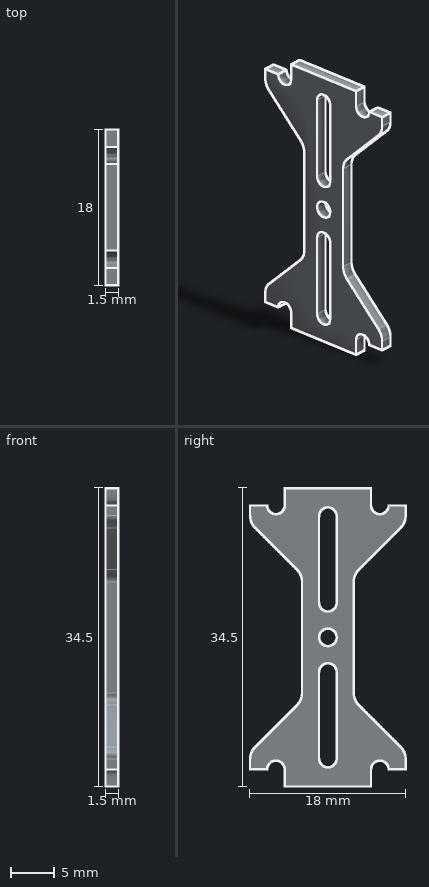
import cadquery as cq

height = 34.5
width = 18.0
thickness = 1.5

tab_width = 10.0
waist_width = 6.0
tab_height = 2.0
ear_side_height = 2.0
corner_radius = 2.0

hole_diameter = 2.0
slot_length = 12.0
slot_offset = 9.0

half_width = width / 2
half_tab = tab_width / 2
half_waist = waist_width / 2
ear_z = height / 2 - tab_height
ear_corner_z = ear_z - ear_side_height
waist_corner_z = ear_corner_z - (half_width - half_waist)
notch_y = half_tab + hole_diameter / 2


def make_plate():
    """Extrude the symmetric outline and round the flank corners."""
    quarter = [
        (half_tab, height / 2),
        (half_tab, ear_z),
        (half_width, ear_z),
        (half_width, ear_corner_z),
        (half_waist, waist_corner_z),
    ]
    right_side = quarter + [(y, -z) for y, z in reversed(quarter)]
    left_side = [(-y, z) for y, z in reversed(right_side)]
    plate = (
        cq.Workplane("YZ")
        .polyline(right_side + left_side)
        .close()
        .extrude(thickness / 2, both=True)
    )
    reach = 0.05
    corners = [(half_width, ear_corner_z), (half_waist, waist_corner_z)]
    for y, z in corners:
        for y_sign in (-1, 1):
            for z_sign in (-1, 1):
                centre_y = y_sign * y
                centre_z = z_sign * z
                selector = cq.selectors.BoxSelector(
                    (-reach, centre_y - reach, centre_z - reach),
                    (reach, centre_y + reach, centre_z + reach),
                )
                plate = plate.edges(selector).fillet(corner_radius)
    return plate


def make_round_cutters(points):
    """Cylinders through the plate at the given (y, z) points."""
    return (
        cq.Workplane("YZ", origin=(-thickness, 0, 0))
        .pushPoints(points)
        .circle(hole_diameter / 2)
        .extrude(2 * thickness)
    )


def make_slot_cutters():
    """Round-ended slots along Z, above and below the centre hole."""
    return (
        cq.Workplane("YZ", origin=(-thickness, 0, 0))
        .pushPoints([(0, -slot_offset), (0, slot_offset)])
        .slot2D(slot_length, hole_diameter, 90)
        .extrude(2 * thickness)
    )


notch_points = [(y, z) for y in (-notch_y, notch_y) for z in (-ear_z, ear_z)]

result = (
    make_plate()
    .cut(make_round_cutters([(0, 0)] + notch_points))
    .cut(make_slot_cutters())
)